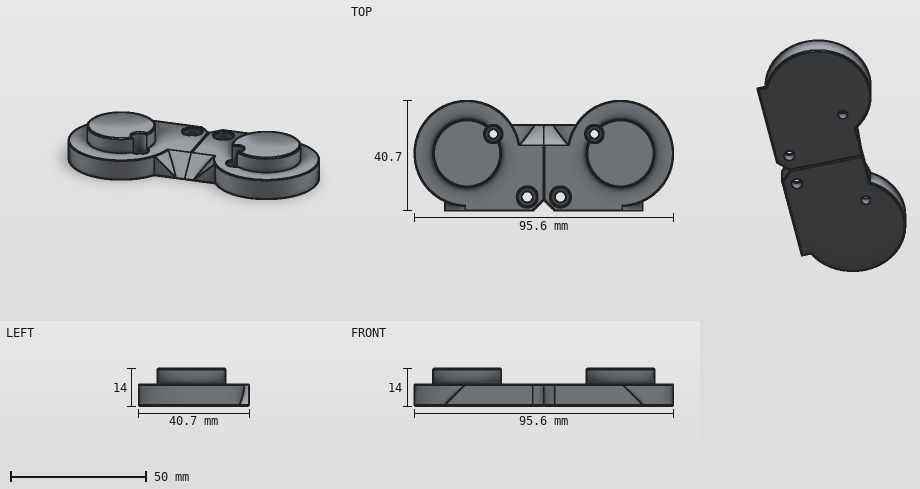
import cadquery as cq

overall_length = 95.6
disc_radius = 19.5
disc_x = overall_length / 2 - disc_radius
plate_height = 8.0
boss_radius = 12.6
total_height = 14.0

front_y = -21.2
ramp_top_y = 3.0
corner_cut = 4.0
end_top_x = 29.0

top_chamfer = 0.3
base_chamfer = 0.5
boss_chamfer = 0.5
hole_chamfer = 0.5

slope_run = plate_height - base_chamfer
ramp_foot_y = ramp_top_y + slope_run
end_foot_x = end_top_x + slope_run

front_hole_x = 6.1
front_hole_y = -16.1
front_hole_diameter = 4.0
front_bore_diameter = 7.0
disc_hole_x = 18.65
disc_hole_y = 7.2
disc_hole_diameter = 3.4
disc_bore_diameter = 6.0
bore_floor_z = 4.0


def make_disc():
    disc = cq.Workplane("XY").center(disc_x, 0).circle(disc_radius).extrude(plate_height)
    return disc.faces(">Z").chamfer(top_chamfer).faces("<Z").chamfer(base_chamfer)


def make_arm():
    """Straight arm with a cut front corner, broken edges and a sloping outer end."""
    exposed_sides = "<X or >X or <Y or <(1,1,0)"
    arm = (
        cq.Workplane("XY")
        .moveTo(0, ramp_top_y)
        .lineTo(0, front_y + corner_cut)
        .lineTo(corner_cut, front_y)
        .lineTo(end_foot_x, front_y)
        .lineTo(end_foot_x, -disc_radius / 2)
        .lineTo(disc_x, ramp_top_y)
        .close()
        .extrude(plate_height)
    )
    arm = arm.faces(exposed_sides).edges(">Z").chamfer(top_chamfer)
    arm = arm.faces(exposed_sides).edges("<Z").chamfer(base_chamfer)
    end_waste = (
        cq.Workplane("XZ", origin=(0, front_y, 0))
        .moveTo(end_top_x, plate_height)
        .lineTo(end_foot_x, base_chamfer)
        .lineTo(end_foot_x, plate_height)
        .close()
        .extrude(front_y)
    )
    return arm.cut(end_waste)


def make_ramp():
    """Rear ramp running down from the arm."""
    return (
        cq.Workplane("YZ")
        .moveTo(ramp_top_y, 0)
        .lineTo(ramp_foot_y - base_chamfer, 0)
        .lineTo(ramp_foot_y, base_chamfer)
        .lineTo(ramp_top_y, plate_height)
        .close()
        .extrude(disc_x)
        .faces("<X").edges("<Z").chamfer(base_chamfer)
    )


def make_flare():
    """Conical skirt that blends the disc into the ramp."""
    cone = (
        cq.Workplane("XZ")
        .moveTo(0, base_chamfer)
        .lineTo(disc_radius + slope_run, base_chamfer)
        .lineTo(disc_radius, plate_height)
        .lineTo(disc_radius, plate_height - top_chamfer)
        .lineTo(0, plate_height - top_chamfer)
        .close()
        .revolve(360, (0, 0, 0), (0, 1, 0))
        .translate((disc_x, 0, 0))
    )
    depth = ramp_foot_y - ramp_top_y
    limits = cq.Workplane("XY").box(disc_x, depth, plate_height, centered=False)
    return cone.intersect(limits.translate((0, ramp_top_y, 0)))


def make_boss():
    boss = cq.Workplane("XY").center(disc_x, 0).circle(boss_radius).extrude(total_height)
    return boss.faces(">Z").chamfer(boss_chamfer)


def counterbore_cutter(x, y, hole_diameter, bore_diameter, rim_z):
    """Through hole and counterbore with a chamfered rim at rim_z."""
    hole = cq.Workplane("XY").center(x, y).circle(hole_diameter / 2).extrude(total_height)
    bore = (
        cq.Workplane("XY", origin=(x, y, bore_floor_z))
        .circle(bore_diameter / 2)
        .extrude(total_height - bore_floor_z)
    )
    rim = (
        cq.Workplane("XY", origin=(x, y, rim_z - hole_chamfer))
        .circle(bore_diameter / 2)
        .workplane(offset=hole_chamfer)
        .circle(bore_diameter / 2 + hole_chamfer)
        .loft()
    )
    return hole.union(bore).union(rim)


def disc_hole_cutter(rim_z):
    return counterbore_cutter(disc_hole_x, disc_hole_y, disc_hole_diameter, disc_bore_diameter, rim_z)


def make_base():
    """Right-hand body: disc, arm, ramp, flare and boss with two counterbored holes."""
    plate = make_disc().union(make_arm()).union(make_ramp()).union(make_flare())
    front_cutter = counterbore_cutter(
        front_hole_x, front_hole_y, front_hole_diameter, front_bore_diameter, plate_height
    )
    plate = plate.cut(front_cutter).cut(disc_hole_cutter(plate_height))
    boss = make_boss().cut(disc_hole_cutter(total_height))
    return plate.union(boss)


right_base = make_base()
left_base = right_base.mirror("YZ")

result = cq.Compound.makeCompound([left_base.val(), right_base.val()])